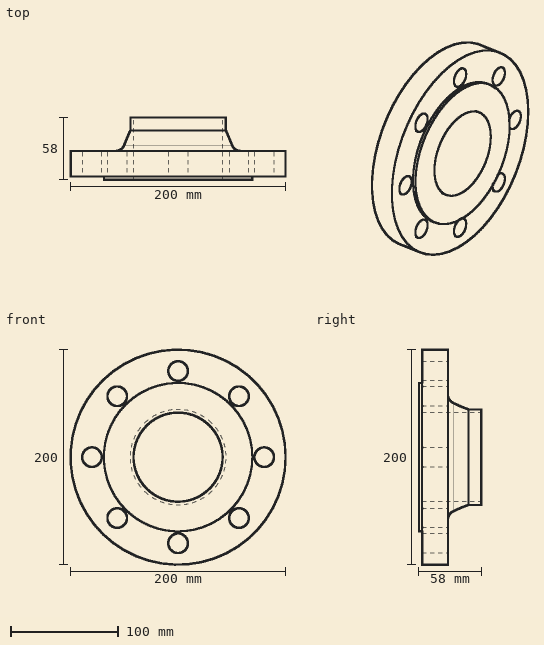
import cadquery as cq

flange_diameter = 200.0
flange_thickness = 24.0
face_diameter = 138.0
face_height = 3.0
overall_length = 58.0
bore_diameter = 82.5
neck_diameter = 89.0
neck_length = 12.0
hub_base_diameter = 105.0
hub_fillet_radius = 8.0
bolt_circle_diameter = 160.0
bolt_hole_diameter = 18.0
bolt_count = 8

flange_back = face_height + flange_thickness
neck_start = overall_length - neck_length
edge_pick_margin = 0.2


def disc(diameter, start, end):
    """Cylinder along Y between two positions."""
    radius = diameter / 2
    return cq.Workplane("XZ", origin=(0, start, 0)).circle(radius).extrude(start - end)


def hub():
    """Conical hub that narrows to the straight weld neck."""
    profile = [
        (0, flange_back),
        (hub_base_diameter / 2, flange_back),
        (neck_diameter / 2, neck_start),
        (neck_diameter / 2, overall_length),
        (0, overall_length),
    ]
    return cq.Workplane("XY").polyline(profile).close().revolve(360, (0, 0, 0), (0, 1, 0))


def bolt_holes():
    """Ring of through holes, the first one on the X axis."""
    return (
        cq.Workplane("XZ")
        .polarArray(bolt_circle_diameter / 2, 0, 360, bolt_count)
        .circle(bolt_hole_diameter / 2)
        .extrude(-overall_length)
    )


body = disc(face_diameter, 0, flange_back)
body = body.union(disc(flange_diameter, face_height, flange_back))
body = body.union(hub())

pick_reach = hub_base_diameter / 2 + edge_pick_margin
hub_root = cq.selectors.BoxSelector(
    (-pick_reach, flange_back - edge_pick_margin, -pick_reach),
    (pick_reach, flange_back + edge_pick_margin, pick_reach),
    boundingbox=True,
)
body = body.edges(hub_root).fillet(hub_fillet_radius)

result = body.cut(disc(bore_diameter, 0, overall_length)).cut(bolt_holes())